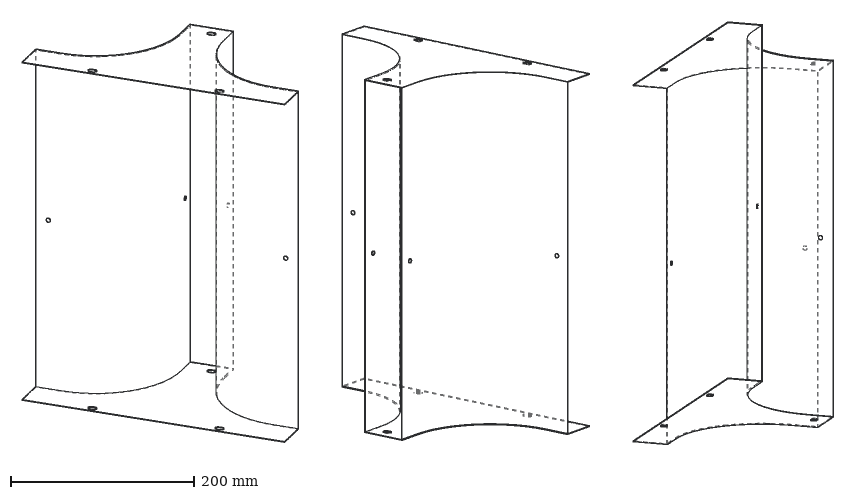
import cadquery as cq

width = 310.0
depth = 168.0
height = 401
thickness = 1.0

stem_width = 49.7
base_depth = 39.0
curve_radius = 100.0
half_width = width / 2
half_stem = stem_width / 2

wall_hole_diameter = 5.0
wall_hole_inset = 15.0
slot_width = 7.0
slot_length = 10.0
base_slot_offset = 75.0
base_slot_inset = 7.5
stem_slot_offset = 6.0
stem_slot_inset = 15.2


def end_plate(bottom_z):
    """T-shaped plate with concave quarter-circle corners."""
    curve_start_x = half_stem + curve_radius
    curve_end_y = base_depth + curve_radius
    return (
        cq.Workplane("XY", origin=(0, 0, bottom_z))
        .moveTo(-half_width, 0)
        .lineTo(half_width, 0)
        .lineTo(half_width, base_depth)
        .lineTo(curve_start_x, base_depth)
        .radiusArc((half_stem, curve_end_y), curve_radius)
        .lineTo(half_stem, depth)
        .lineTo(-half_stem, depth)
        .lineTo(-half_stem, curve_end_y)
        .radiusArc((-curve_start_x, base_depth), curve_radius)
        .lineTo(-half_width, base_depth)
        .close()
        .extrude(thickness)
    )


def right_wall():
    """Full-height curved sheet with two flat flanges, hugging the plates."""
    inner_x = half_stem
    outer_x = half_stem + thickness
    inner_y = base_depth
    outer_y = base_depth + thickness
    center_x = half_stem + curve_radius
    center_y = base_depth + curve_radius
    return (
        cq.Workplane("XY")
        .moveTo(half_width, inner_y)
        .lineTo(center_x, inner_y)
        .radiusArc((inner_x, center_y), curve_radius)
        .lineTo(inner_x, depth)
        .lineTo(outer_x, depth)
        .lineTo(outer_x, center_y)
        .radiusArc((center_x, outer_y), -(curve_radius - thickness))
        .lineTo(half_width, outer_y)
        .close()
        .extrude(height)
    )


def plate_slots():
    """Slots through both end plates."""
    centers = [
        (-base_slot_offset, base_slot_inset),
        (base_slot_offset, base_slot_inset),
        (stem_slot_offset, depth - stem_slot_inset),
    ]
    return (
        cq.Workplane("XY")
        .pushPoints(centers)
        .slot2D(slot_length, slot_width)
        .extrude(height)
    )


def base_flange_holes():
    """Mid-height holes through the flanges at both ends of the base."""
    hole_x = half_width - wall_hole_inset
    return (
        cq.Workplane("XZ")
        .pushPoints([(-hole_x, height / 2), (hole_x, height / 2)])
        .circle(wall_hole_diameter / 2)
        .extrude(-depth)
    )


def stem_flange_holes():
    """Mid-height hole through both flanges beside the stem."""
    return (
        cq.Workplane("YZ")
        .center(depth - wall_hole_inset, height / 2)
        .circle(wall_hole_diameter / 2)
        .extrude(half_width, both=True)
    )


wall = right_wall()
body = wall.union(wall.mirror("YZ"))
for plate_z in (0, height - thickness):
    body = body.union(end_plate(plate_z))

result = body.cut(plate_slots()).cut(base_flange_holes()).cut(stem_flange_holes())